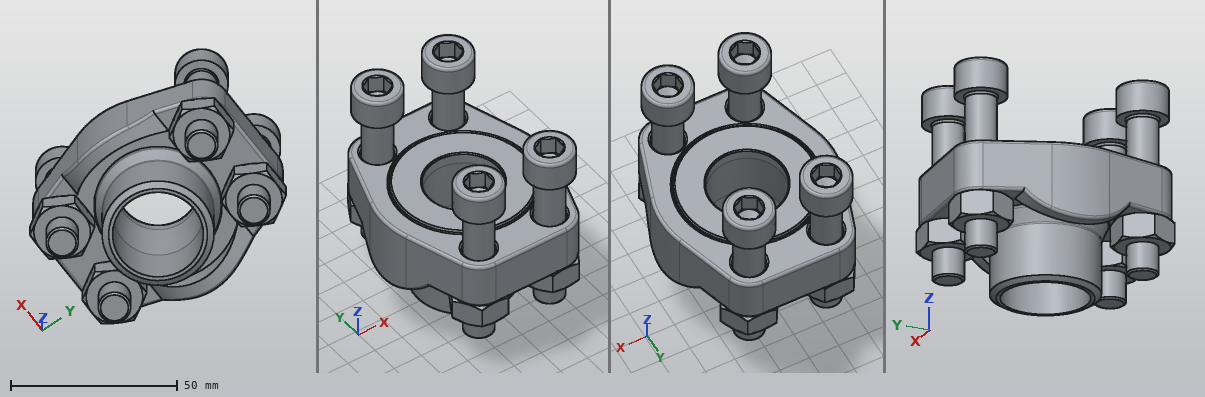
import cadquery as cq
import math

BOLT_SPACING_X = 26.2
BOLT_SPACING_Y = 52.4

INSERT_HEIGHT = 40.0
INSERT_PROTRUSION = 0.5
PIPE_DIAMETER = 33.7
PIPE_BORE = 27.3
WELD_BEVEL_WIDTH = 2.0
WELD_BEVEL_HEIGHT = 1.2
NECK_DIAMETER = 37.9
NECK_CONE_BOTTOM = 18.1
NECK_CONE_TOP = 23.0
NECK_FILLET = 1.2
COLLAR_DIAMETER = 44.4
COLLAR_THICKNESS = 8.0
COLLAR_EDGE = 0.5
MOUTH_BORE = 25.0
MOUTH_DEPTH = 3.8
MOUTH_CHAMFER = 0.4

FLANGE_WIDTH = 59.0
FLANGE_LENGTH = 70.0
FLANGE_THICKNESS = 16.0
FLANGE_TOP = INSERT_HEIGHT - INSERT_PROTRUSION
FLANGE_FILLET = 1.0
FLANGE_BORE = 38.5
COLLAR_SEAT_DIAMETER = 45.25
COLLAR_SEAT_CHAMFER = 0.4
BOLT_HOLE_DIAMETER = 10.5
BOLT_HOLE_CHAMFER = 0.6
SADDLE_RADIUS = 22.5
SADDLE_DEPTH = 7.9
SADDLE_RECESS_RADIUS = 24.5

SCREW_DIAMETER = 9.73
SCREW_LENGTH = 50.0
SCREW_TIP_DIAMETER = 8.34
SCREW_TIP_HEIGHT = 0.5
SCREW_TIP_Z = 6.5
HEAD_DIAMETER = 16.0
HEAD_HEIGHT = 10.0
HEAD_FILLET = 1.0
NECK_FLARE_DIAMETER = 10.5
NECK_FLARE_HEIGHT = 0.8
SOCKET_WIDTH = 8.0
SOCKET_DEPTH = 6.0
SOCKET_MOUTH_DIAMETER = 9.24
SOCKET_MOUTH_ANGLE = 30.0
SOCKET_POINT_ANGLE = 120.0

NUT_WIDTH = 17.0
NUT_HEIGHT = 8.0
NUT_CHAMFER_ANGLE = 30.0

FLANGE_BOTTOM = FLANGE_TOP - FLANGE_THICKNESS
SADDLE_BOTTOM = FLANGE_BOTTOM - SADDLE_DEPTH
SADDLE_AXIS_Z = SADDLE_BOTTOM + SADDLE_RADIUS
COLLAR_BOTTOM = INSERT_HEIGHT - COLLAR_THICKNESS
COS_30 = math.cos(math.radians(30))
BOLT_POINTS = [
    (side_x * BOLT_SPACING_X / 2, side_y * BOLT_SPACING_Y / 2)
    for side_x in (-1, 1)
    for side_y in (-1, 1)
]


def revolve_profile(points):
    """Revolve a closed (radius, height) outline about the Z axis."""
    return cq.Workplane("XZ").polyline(points).close().revolve(360, (0, 0), (0, 1))


def make_insert():
    pipe_radius = PIPE_DIAMETER / 2
    neck_radius = NECK_DIAMETER / 2
    collar_radius = COLLAR_DIAMETER / 2
    mouth_radius = MOUTH_BORE / 2
    mouth_bottom = INSERT_HEIGHT - MOUTH_DEPTH
    body = revolve_profile([
        (0, 0),
        (pipe_radius - WELD_BEVEL_WIDTH, 0),
        (pipe_radius, WELD_BEVEL_HEIGHT),
        (pipe_radius, NECK_CONE_BOTTOM),
        (neck_radius, NECK_CONE_TOP),
        (neck_radius, COLLAR_BOTTOM),
        (collar_radius, COLLAR_BOTTOM),
        (collar_radius, INSERT_HEIGHT - COLLAR_EDGE),
        (collar_radius - COLLAR_EDGE, INSERT_HEIGHT),
        (0, INSERT_HEIGHT),
    ])

    for height in (NECK_CONE_BOTTOM, NECK_CONE_TOP):
        cone_end = cq.selectors.NearestToPointSelector((0, 0, height))
        body = body.edges("%CIRCLE").edges(cone_end).fillet(NECK_FILLET)

    bore = revolve_profile([
        (0, 0),
        (PIPE_BORE / 2, 0),
        (PIPE_BORE / 2, NECK_CONE_BOTTOM),
        (mouth_radius, mouth_bottom),
        (mouth_radius, INSERT_HEIGHT - MOUTH_CHAMFER),
        (mouth_radius + MOUTH_CHAMFER, INSERT_HEIGHT),
        (0, INSERT_HEIGHT),
    ])
    return body.cut(bore)


def flange_outline():
    """Outline whose straight flanks run tangent to the corner arcs and the two end arcs."""
    corner_x = BOLT_SPACING_X / 2
    corner_y = BOLT_SPACING_Y / 2
    corner_radius = FLANGE_LENGTH / 2 - corner_y
    end_radius = FLANGE_WIDTH / 2
    corner_distance = math.hypot(corner_x, corner_y)
    tangent_angle = (
        math.atan2(corner_y, corner_x)
        - math.acos((end_radius - corner_radius) / corner_distance)
    )
    middle_angle = (tangent_angle + math.pi / 2) / 2

    def on_end(angle):
        return end_radius * math.cos(angle), end_radius * math.sin(angle)

    def on_corner(angle, side_x, side_y):
        x = corner_x + corner_radius * math.cos(angle)
        y = corner_y + corner_radius * math.sin(angle)
        return side_x * x, side_y * y

    end_x, end_y = on_end(tangent_angle)
    return (
        cq.Workplane("XY", origin=(0, 0, SADDLE_BOTTOM))
        .moveTo(end_x, -end_y)
        .threePointArc((end_radius, 0), (end_x, end_y))
        .lineTo(*on_corner(tangent_angle, 1, 1))
        .threePointArc(on_corner(middle_angle, 1, 1), on_corner(math.pi / 2, 1, 1))
        .lineTo(*on_corner(math.pi / 2, -1, 1))
        .threePointArc(on_corner(middle_angle, -1, 1), on_corner(tangent_angle, -1, 1))
        .lineTo(-end_x, end_y)
        .threePointArc((-end_radius, 0), (-end_x, -end_y))
        .lineTo(*on_corner(tangent_angle, -1, -1))
        .threePointArc(on_corner(middle_angle, -1, -1), on_corner(math.pi / 2, -1, -1))
        .lineTo(*on_corner(math.pi / 2, 1, -1))
        .threePointArc(on_corner(middle_angle, 1, -1), on_corner(tangent_angle, 1, -1))
        .close()
    )


def make_flange():
    block = flange_outline().extrude(FLANGE_TOP - SADDLE_BOTTOM)

    plate = (
        cq.Workplane("XY", origin=(0, 0, FLANGE_BOTTOM))
        .rect(2 * FLANGE_WIDTH, 2 * FLANGE_LENGTH)
        .extrude(FLANGE_THICKNESS)
    )
    saddle = (
        cq.Workplane("YZ", origin=(-FLANGE_WIDTH, 0, SADDLE_AXIS_Z))
        .circle(SADDLE_RADIUS)
        .extrude(2 * FLANGE_WIDTH)
    )
    flange = block.intersect(plate.union(saddle))

    rim_edges = cq.selectors.SubtractSelector(
        cq.selectors.StringSyntaxSelector("not |Z"),
        cq.selectors.BoxSelector(
            (-1, -SADDLE_RADIUS, SADDLE_BOTTOM),
            (1, SADDLE_RADIUS, FLANGE_TOP),
        ),
    )
    flange = flange.edges(rim_edges).fillet(FLANGE_FILLET)

    recess = (
        cq.Workplane("XY", origin=(0, 0, SADDLE_BOTTOM))
        .circle(SADDLE_RECESS_RADIUS)
        .extrude(FLANGE_BOTTOM - SADDLE_BOTTOM)
    )

    bore_radius = FLANGE_BORE / 2
    seat_radius = COLLAR_SEAT_DIAMETER / 2
    stepped_bore = revolve_profile([
        (0, SADDLE_BOTTOM),
        (bore_radius, SADDLE_BOTTOM),
        (bore_radius, COLLAR_BOTTOM),
        (seat_radius, COLLAR_BOTTOM),
        (seat_radius, FLANGE_TOP - COLLAR_SEAT_CHAMFER),
        (seat_radius + COLLAR_SEAT_CHAMFER, FLANGE_TOP),
        (0, FLANGE_TOP),
    ])
    flange = flange.cut(recess).cut(stepped_bore)

    hole_radius = BOLT_HOLE_DIAMETER / 2
    bolt_hole = revolve_profile([
        (0, FLANGE_BOTTOM),
        (hole_radius, FLANGE_BOTTOM),
        (hole_radius, FLANGE_TOP - BOLT_HOLE_CHAMFER),
        (hole_radius + BOLT_HOLE_CHAMFER, FLANGE_TOP),
        (0, FLANGE_TOP),
    ])
    for x, y in BOLT_POINTS:
        flange = flange.cut(bolt_hole.translate((x, y, 0)))
    return flange


def make_screw(x, y):
    head_bottom = SCREW_TIP_Z + SCREW_LENGTH
    head_top = head_bottom + HEAD_HEIGHT
    screw_radius = SCREW_DIAMETER / 2

    head = (
        cq.Workplane("XY", origin=(0, 0, head_bottom))
        .circle(HEAD_DIAMETER / 2)
        .extrude(HEAD_HEIGHT)
        .faces(">Z").edges().fillet(HEAD_FILLET)
    )
    shank = revolve_profile([
        (0, SCREW_TIP_Z),
        (SCREW_TIP_DIAMETER / 2, SCREW_TIP_Z),
        (screw_radius, SCREW_TIP_Z + SCREW_TIP_HEIGHT),
        (screw_radius, head_bottom - NECK_FLARE_HEIGHT),
        (NECK_FLARE_DIAMETER / 2, head_bottom),
        (0, head_bottom),
    ])

    socket_floor = head_top - SOCKET_DEPTH
    point_depth = SOCKET_WIDTH / 2 / math.tan(math.radians(SOCKET_POINT_ANGLE / 2))
    mouth_radius = SOCKET_MOUTH_DIAMETER / 2
    mouth_depth = mouth_radius * math.tan(math.radians(SOCKET_MOUTH_ANGLE))
    socket = (
        cq.Workplane("XY", origin=(0, 0, socket_floor))
        .transformed(rotate=(0, 0, 90))
        .polygon(6, SOCKET_WIDTH / COS_30)
        .extrude(SOCKET_DEPTH)
    )
    drill_point = revolve_profile([
        (0, socket_floor - point_depth),
        (SOCKET_WIDTH / 2, socket_floor),
        (0, socket_floor),
    ])
    mouth = revolve_profile([
        (0, head_top - mouth_depth),
        (mouth_radius, head_top),
        (0, head_top),
    ])
    screw = head.union(shank).cut(socket).cut(drill_point).cut(mouth)
    return screw.translate((x, y, 0))


def make_nut(x, y):
    corner_diameter = NUT_WIDTH / COS_30
    corner_radius = corner_diameter / 2
    flat_radius = NUT_WIDTH / 2
    chamfer_height = (corner_radius - flat_radius) * math.tan(math.radians(NUT_CHAMFER_ANGLE))
    hexagon = cq.Workplane("XY").polygon(6, corner_diameter).extrude(NUT_HEIGHT)
    chamfered_envelope = revolve_profile([
        (0, 0),
        (flat_radius, 0),
        (corner_radius, chamfer_height),
        (corner_radius, NUT_HEIGHT - chamfer_height),
        (flat_radius, NUT_HEIGHT),
        (0, NUT_HEIGHT),
    ])
    thread_hole = cq.Workplane("XY").circle(SCREW_DIAMETER / 2).extrude(NUT_HEIGHT)
    nut = hexagon.intersect(chamfered_envelope).cut(thread_hole)
    return nut.translate((x, y, FLANGE_BOTTOM - NUT_HEIGHT))


insert = make_insert()
flange = make_flange()
screws = [make_screw(x, y).val() for x, y in BOLT_POINTS]
nuts = [make_nut(x, y).val() for x, y in BOLT_POINTS]

result = cq.Compound.makeCompound([insert.val(), flange.val(), *screws, *nuts])